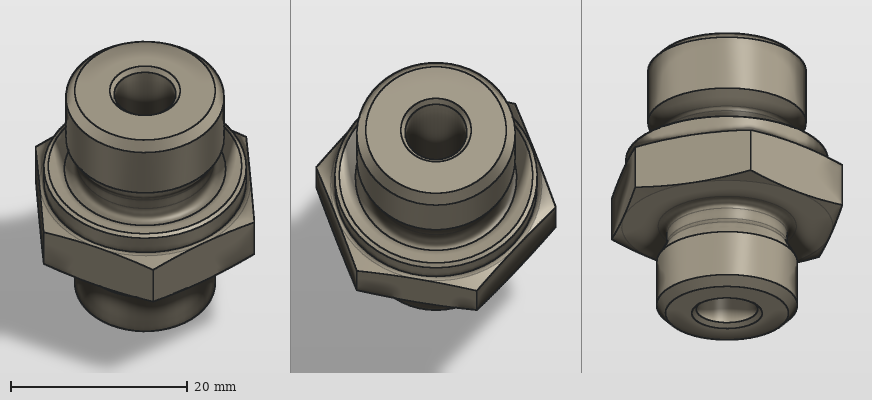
import cadquery as cq
import math

HEIGHT = 31.5

HEX_FLATS = 24.0
HEX_BOTTOM = 11.0
HEX_TOP = 17.05
HEX_CHAMFER_RADIUS = HEX_FLATS / 2
HEX_CHAMFER_ANGLE = 15.0

LOWER_RADIUS = 16.0 / 2
LOWER_NECK_RADIUS = 13.7 / 2
LOWER_CONE_START = 6.43
LOWER_FILLET = 1.0
UPPER_RADIUS = 18.0 / 2
UPPER_NECK_RADIUS = 15.7 / 2
UPPER_CONE_START = 24.07
END_CHAMFER = 1.0
CONE_ANGLE = 30.0
CONE_BLEND_RADIUS = 1.0

COLLAR_RADIUS = 23.0 / 2
COLLAR_EDGE_Z = 19.3
RIM_RADIUS = 11.0
RIM_Z = 19.53
SEAL_INNER_RADIUS = 9.17
SEAL_ANGLE = 15.0
UPPER_NECK_BOTTOM = 20.48

BORE_RADIUS = 7.0 / 2
BORE_CHAMFER = 0.5


def tangent(degrees):
    return math.tan(math.radians(degrees))


def cone_and_blend_sizes(body_radius, neck_radius):
    """Cone end radius, cone length and the axial length of the blend arc to the neck."""
    angle = math.radians(CONE_ANGLE)
    cone_end_radius = neck_radius + CONE_BLEND_RADIUS * (1 - math.cos(angle))
    cone_length = (body_radius - cone_end_radius) / math.tan(angle)
    return cone_end_radius, cone_length, CONE_BLEND_RADIUS * math.sin(angle)


def lower_spigot():
    cone_end_radius, cone_length, blend_length = cone_and_blend_sizes(LOWER_RADIUS, LOWER_NECK_RADIUS)
    cone_end = LOWER_CONE_START + cone_length
    fillet_start = HEX_BOTTOM - LOWER_FILLET
    return (
        cq.Workplane("XZ")
        .lineTo(LOWER_RADIUS - END_CHAMFER, 0)
        .lineTo(LOWER_RADIUS, END_CHAMFER)
        .lineTo(LOWER_RADIUS, LOWER_CONE_START)
        .lineTo(cone_end_radius, cone_end)
        .tangentArcPoint((LOWER_NECK_RADIUS, cone_end + blend_length), relative=False)
        .lineTo(LOWER_NECK_RADIUS, fillet_start)
        .tangentArcPoint((LOWER_NECK_RADIUS + LOWER_FILLET, HEX_BOTTOM), relative=False)
        .lineTo(0, HEX_BOTTOM)
        .close()
        .revolve(360, (0, 0), (0, 1))
    )


def hexagon():
    corner_radius = HEX_FLATS / 2 / math.cos(math.radians(30))
    corner_drop = (corner_radius - HEX_CHAMFER_RADIUS) * tangent(HEX_CHAMFER_ANGLE)
    prism = (
        cq.Workplane("XY", origin=(0, 0, HEX_BOTTOM))
        .polygon(6, 2 * corner_radius)
        .extrude(HEX_TOP - HEX_BOTTOM)
        .rotate((0, 0, 0), (0, 0, 1), 30)
    )
    chamfer_envelope = (
        cq.Workplane("XZ")
        .moveTo(0, HEX_BOTTOM)
        .lineTo(HEX_CHAMFER_RADIUS, HEX_BOTTOM)
        .lineTo(corner_radius, HEX_BOTTOM + corner_drop)
        .lineTo(corner_radius, HEX_TOP - corner_drop)
        .lineTo(HEX_CHAMFER_RADIUS, HEX_TOP)
        .lineTo(0, HEX_TOP)
        .close()
        .revolve(360, (0, 0), (0, 1))
    )
    return prism.intersect(chamfer_envelope)


def collar_and_upper_spigot():
    cone_end_radius, cone_length, blend_length = cone_and_blend_sizes(UPPER_RADIUS, UPPER_NECK_RADIUS)
    cone_end = UPPER_CONE_START - cone_length
    seal_inner_z = RIM_Z - (RIM_RADIUS - SEAL_INNER_RADIUS) * tangent(SEAL_ANGLE)
    return (
        cq.Workplane("XZ")
        .moveTo(0, HEIGHT)
        .lineTo(UPPER_RADIUS - END_CHAMFER, HEIGHT)
        .lineTo(UPPER_RADIUS, HEIGHT - END_CHAMFER)
        .lineTo(UPPER_RADIUS, UPPER_CONE_START)
        .lineTo(cone_end_radius, cone_end)
        .tangentArcPoint((UPPER_NECK_RADIUS, cone_end - blend_length), relative=False)
        .lineTo(UPPER_NECK_RADIUS, UPPER_NECK_BOTTOM)
        .tangentArcPoint((SEAL_INNER_RADIUS, seal_inner_z), relative=False)
        .lineTo(RIM_RADIUS, RIM_Z)
        .lineTo(COLLAR_RADIUS, COLLAR_EDGE_Z)
        .lineTo(COLLAR_RADIUS, HEX_TOP)
        .lineTo(0, HEX_TOP)
        .close()
        .revolve(360, (0, 0), (0, 1))
    )


def bore():
    mouth_radius = BORE_RADIUS + BORE_CHAMFER
    return (
        cq.Workplane("XZ")
        .lineTo(mouth_radius, 0)
        .lineTo(BORE_RADIUS, BORE_CHAMFER)
        .lineTo(BORE_RADIUS, HEIGHT - BORE_CHAMFER)
        .lineTo(mouth_radius, HEIGHT)
        .lineTo(0, HEIGHT)
        .close()
        .revolve(360, (0, 0), (0, 1))
    )


result = hexagon().union(lower_spigot()).union(collar_and_upper_spigot()).cut(bore())